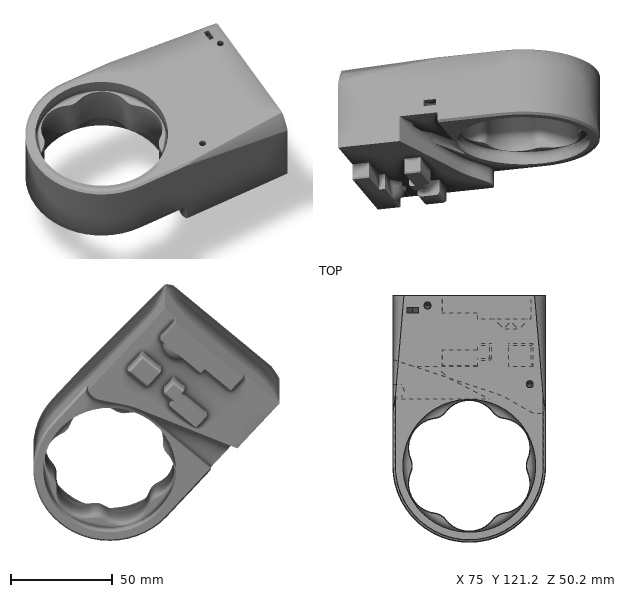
import cadquery as cq
import math

length = 121.2
width = 75.0
top_z = 42.3
outer_radius = width / 2
back_y = length - outer_radius

body_bottom = 8.1
top_bevel_width = 1.2
top_bevel_height = 0.7
bottom_bevel = 1.1

recess_radius = 32.6
recess_depth = 7.0
lobe_count = 6
lobe_reach = 32.1
waist_radius = 28.0
bump_radius = 7.9
mouth_height = 6.5

shoulder_width = 5.5
shoulder_height = 8.4
shoulder_length = 60.6
shoulder_vanish = 64.2
shoulder_bulge = 0.1

base_side_y = back_y - 31.5
base_bend_x = 11.8
base_bend_y = back_y - 47.8
base_turn_x = 19.1
base_turn_y = back_y - 50.9
base_nose_x = 29.9
base_nose_y = back_y - 57.1
base_tip_y = back_y - 58.0
base_overlap = bottom_bevel

notch_top = 13.0
notch_front_x = 9.7
notch_front_y = back_y - 50.9
notch_apex_y = back_y - 40.4
nick_back_y = back_y - 34.9
nick_height = 1.8

top_slot_length = 5.6
top_slot_width = 2.7
top_slot_center = (-27.8, back_y - 7.3)
side_slot_length = 6.2
side_slot_width = 3.2
side_slot_y = back_y - 46.9
side_slot_z = 18.5
slot_wall_depth = 4.2
slot_depth = 5.7
pin_radius = 1.7
pin_depth = 6.0
pin_places = [(-20.5, back_y - 5.0), (29.7, back_y - 43.6)]

foot_depth = 7.9
jaw_left = -13.5
jaw_right = 4.0
jaw_width = 8.1
back_jaw_y = back_y - 8.6
front_jaw_y = back_y - 34.9
jaw_bevel_height = 0.7
jaw_bevel_width = 0.4
back_block_right = 30.3
back_block_y = back_y - 11.5
clip_right = 11.0
clip_front_y = back_y - 32.0
clip_back_y = back_y - 23.8
clip_bevel = 1.1
lug_left = 19.1
lug_right = 31.4
lug_round = 1.8
lug_bevel = 1.0

dome_radius = 8.5
dome_x = 20.4
dome_y = back_y - 8.7
dome_flat_distance = 7.9
dome_dimple_radius = 3.5
dimple_tip_radius = 0.6


def box(x0, x1, y0, y1, z0, z1):
    return cq.Workplane("XY").box(x1 - x0, y1 - y0, z1 - z0, centered=False).translate((x0, y0, z0))


def polar(radius, angle):
    return (radius * math.cos(angle), radius * math.sin(angle))


def make_body():
    """Bevelled block, made overlong and cut back so that its rear edges stay sharp."""
    trim = 6.0
    long_body = (
        cq.Workplane("XY", origin=(0, 0, body_bottom))
        .moveTo(-outer_radius, back_y + trim)
        .lineTo(-outer_radius, 0)
        .threePointArc((0, -outer_radius), (outer_radius, 0))
        .lineTo(outer_radius, back_y + trim)
        .close()
        .extrude(top_z - body_bottom)
        .faces("<Z")
        .chamfer(bottom_bevel)
        .faces(">Z")
        .chamfer(top_bevel_height, top_bevel_width)
    )
    return long_body.intersect(box(-width, width, -width, back_y, 0, top_z))


def make_base():
    mid_nose_x = (base_nose_x + outer_radius) / 2
    return (
        cq.Workplane("XY")
        .moveTo(-outer_radius, back_y)
        .lineTo(-outer_radius, base_side_y)
        .lineTo(base_bend_x, base_bend_y)
        .tangentArcPoint((base_turn_x, base_turn_y), relative=False)
        .lineTo(base_nose_x, base_nose_y)
        .threePointArc((mid_nose_x, base_tip_y), (outer_radius, base_nose_y))
        .lineTo(outer_radius, back_y)
        .close()
        .extrude(body_bottom + base_overlap)
    )


def shoulder_section(plane_y, side, inset, drop):
    """Area outside a rounded top corner, bounded by a shallow arc."""
    edge_x = side * outer_radius
    start = cq.Vector(edge_x, plane_y, top_z - drop)
    end = cq.Vector(edge_x - side * inset, plane_y, top_z)
    corner = cq.Vector(edge_x, plane_y, top_z)
    chord_middle = (start + end) * 0.5
    middle = chord_middle + (corner - chord_middle) * shoulder_bulge
    return cq.Wire.assembleEdges(
        [
            cq.Edge.makeThreePointArc(start, middle, end),
            cq.Edge.makeLine(end, corner),
            cq.Edge.makeLine(corner, start),
        ]
    )


def make_shoulder(side):
    """Shoulder cutter tapering forward until it lies inside the top bevel."""
    taper = 1 - shoulder_length / shoulder_vanish
    front_y = back_y - shoulder_length
    back = shoulder_section(back_y, side, shoulder_width, shoulder_height)
    front = shoulder_section(front_y, side, taper * shoulder_width, taper * shoulder_height)
    return cq.Workplane(cq.Solid.makeLoft([back, front], True))


def bump_joint():
    """Radius and polar angle, measured from the bump's axis, where a bump flows into a lobe."""
    pitch_half = math.pi / lobe_count
    bump_center = waist_radius + bump_radius
    reach_sum = lobe_reach + bump_radius
    lobe_center = (reach_sum**2 - bump_center**2) / (
        2 * (reach_sum - bump_center * math.cos(pitch_half))
    )
    share = bump_radius / (reach_sum - lobe_center)
    lobe_x, lobe_y = polar(lobe_center, pitch_half)
    meet_x = bump_center + share * (lobe_x - bump_center)
    meet_y = share * lobe_y
    return math.hypot(meet_x, meet_y), math.atan2(meet_y, meet_x)


def lobed_wire(z):
    """Closed wire alternating a convex bump with a concave lobe."""
    joint_radius, joint_angle = bump_joint()
    pitch = 2 * math.pi / lobe_count
    edges = []
    for index in range(lobe_count):
        angle = index * pitch
        first = cq.Vector(*polar(joint_radius, angle - joint_angle), z)
        bump = cq.Vector(*polar(waist_radius, angle), z)
        second = cq.Vector(*polar(joint_radius, angle + joint_angle), z)
        lobe = cq.Vector(*polar(lobe_reach, angle + pitch / 2), z)
        third = cq.Vector(*polar(joint_radius, angle + pitch - joint_angle), z)
        edges.append(cq.Edge.makeThreePointArc(first, bump, second))
        edges.append(cq.Edge.makeThreePointArc(second, lobe, third))
    return cq.Wire.assembleEdges(edges)


def make_bore():
    middle = cq.Solid.extrudeLinear(lobed_wire(body_bottom), [], cq.Vector(0, 0, top_z - body_bottom))
    recess = (
        cq.Workplane("XY", origin=(0, 0, top_z - recess_depth)).circle(recess_radius).extrude(recess_depth)
    )
    mouth = cq.Workplane("XY", origin=(0, 0, body_bottom)).circle(recess_radius).extrude(mouth_height)
    return recess.union(cq.Workplane(middle)).union(mouth)


def base_side_x(y):
    """X where the sloping front wall of the base reaches a given Y."""
    slope = (base_bend_x + outer_radius) / (base_side_y - base_bend_y)
    return -outer_radius + slope * (base_side_y - y)


def make_notch():
    apex_x = base_side_x(notch_apex_y)
    notch = (
        cq.Workplane("XY")
        .moveTo(-outer_radius, base_side_y)
        .lineTo(apex_x, notch_apex_y)
        .lineTo(notch_front_x, notch_front_y)
        .lineTo(-outer_radius, notch_front_y)
        .close()
        .extrude(notch_top)
    )
    nick = (
        cq.Workplane("XY", origin=(0, 0, notch_top - nick_height))
        .moveTo(base_side_x(nick_back_y), nick_back_y)
        .lineTo(apex_x - (nick_back_y - notch_apex_y), nick_back_y)
        .lineTo(apex_x, notch_apex_y)
        .close()
        .extrude(nick_height)
    )
    return notch.union(nick)


def v_bottom_slot(slot_length, slot_width):
    """Slot along X cut down from Z = 0, with straight walls above a shallow V floor."""
    half = slot_length / 2
    return (
        cq.Workplane("XZ", origin=(0, slot_width / 2, 0))
        .moveTo(-half, 0)
        .lineTo(-half, -slot_wall_depth)
        .lineTo(0, -slot_depth)
        .lineTo(half, -slot_wall_depth)
        .lineTo(half, 0)
        .close()
        .extrude(slot_width)
    )


def make_top_slot():
    return v_bottom_slot(top_slot_length, top_slot_width).translate((*top_slot_center, top_z))


def make_side_slot():
    slot = v_bottom_slot(side_slot_length, side_slot_width)
    slot = slot.rotate((0, 0, 0), (0, 0, 1), 90).rotate((0, 0, 0), (0, 1, 0), -90)
    return slot.translate((-outer_radius, side_slot_y, side_slot_z))


def make_pin_hole(x, y):
    """Blind round hole whose bottom is a V groove along X."""
    shoulder_z = top_z - pin_depth + pin_radius
    envelope = (
        cq.Workplane("YZ", origin=(x - pin_radius, y, 0))
        .moveTo(-pin_radius, top_z)
        .lineTo(-pin_radius, shoulder_z)
        .lineTo(0, top_z - pin_depth)
        .lineTo(pin_radius, shoulder_z)
        .lineTo(pin_radius, top_z)
        .close()
        .extrude(2 * pin_radius)
    )
    drill = cq.Workplane("XY", origin=(x, y, top_z)).circle(pin_radius).extrude(-pin_depth)
    return drill.intersect(envelope)


def make_feet():
    back_jaw = box(jaw_left, jaw_right, back_jaw_y, back_y, -foot_depth, 0)
    front_jaw = box(jaw_left, jaw_right, front_jaw_y, front_jaw_y + jaw_width, -foot_depth, 0)
    front_jaw = front_jaw.edges("<Z and (<X or <Y)").chamfer(jaw_bevel_height, jaw_bevel_width)
    back_jaw = back_jaw.edges("<Z and <X").chamfer(jaw_bevel_height, jaw_bevel_width)
    back_block = box(jaw_right, back_block_right, back_block_y, back_y, -foot_depth, 0)
    clip = (
        box(jaw_right, clip_right, clip_front_y, clip_back_y, -foot_depth, 0)
        .edges("|Z and >X and <Y")
        .chamfer(clip_bevel)
        .edges("<Z and (not <X)")
        .chamfer(lug_bevel)
    )
    lug = (
        box(lug_left, lug_right, front_jaw_y, clip_back_y, -foot_depth, 0)
        .edges("<Z and (>X or >Y)")
        .chamfer(lug_bevel)
        .edges("<Z and <Y")
        .fillet(lug_round)
    )
    return back_jaw.union(back_block).union(front_jaw).union(clip).union(lug)


def make_dome():
    """Spherical boss cut flat toward -X -Y at 45 degrees, with a conical dimple toward -Y."""
    dome = cq.Workplane("XY").sphere(dome_radius)
    corner = box(dome_flat_distance, 2 * dome_radius, -dome_radius, dome_radius, -dome_radius, dome_radius)
    dome = dome.cut(corner.rotate((0, 0, 0), (0, 0, 1), -135))
    rim_y = -math.sqrt(dome_radius**2 - dome_dimple_radius**2)
    dimple = cq.Solid.makeCone(
        2 * dome_dimple_radius,
        dimple_tip_radius,
        2 * dome_dimple_radius - dimple_tip_radius,
        pnt=cq.Vector(0, rim_y - dome_dimple_radius, 0),
        dir=cq.Vector(0, 1, 0),
    )
    dome = dome.cut(cq.Workplane(dimple)).translate((dome_x, dome_y, 0))
    return dome.intersect(box(0, width, 0, back_block_y, -foot_depth, 0))


result = make_body().union(make_base())
for side in (-1, 1):
    result = result.cut(make_shoulder(side))
result = result.cut(make_bore()).cut(make_notch())
result = result.cut(make_top_slot()).cut(make_side_slot())
for place in pin_places:
    result = result.cut(make_pin_hole(*place))
result = result.union(make_feet()).union(make_dome())